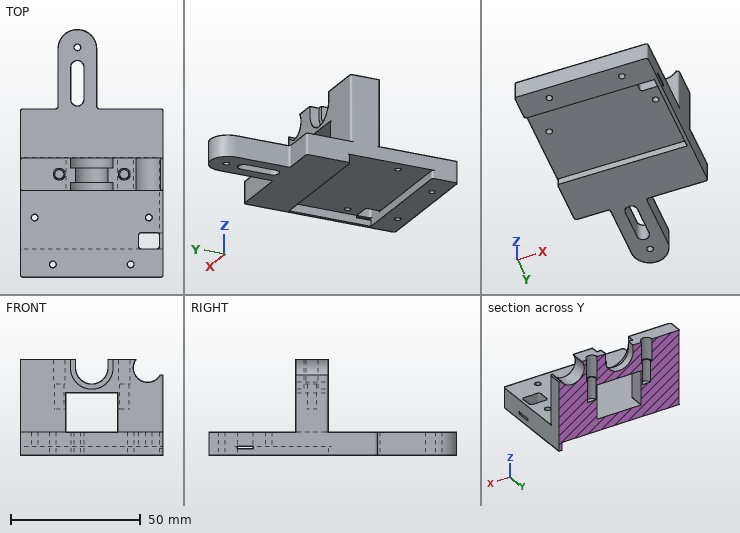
import cadquery as cq

base_width = 55.0
side_x = base_width / 2
base_length = 64.9
base_height = 9.0
corner_radius = 1.0

total_length = 95.5
tongue_width = 15.0
tongue_x = -5.5
tongue_tip_y = total_length - tongue_width / 2
slot_width = 5.0
slot_length = 17.5
slot_y = 74.8
tongue_hole_y = 88.6
screw_diameter = 2.5

total_height = 37.0
block_front_y = 33.4
block_depth = 12.6
block_back_y = block_front_y + block_depth
window_width = 20.0
window_top_z = 24.1

seat_z = 33.7
bore_diameter = 12.4
groove_diameter = 16.4
front_groove_depth = 3.15
back_groove_depth = 3.9

notch_x = 21.6
notch_radius = 5.5
notch_ledge_z = 31.0

cap_screw_spacing = 25.0
cap_screw_diameter = 3.5
cap_screw_depth = 19.1
cap_recess_diameter = 4.6
cap_recess_depth = 9.55

mounting_rows = [(44.0, 23.0), (30.0, 5.0)]

opening_width = 8.0
opening_length = 6.1
opening_x = 22.1
opening_end_x = opening_x + opening_width / 2

pocket_height = 3.4
pocket_front_y = 11.0
pocket_back_y = 46.1
slit_height = 0.9


def box(x_range, y_range, z_range):
    """Box spanning the given (low, high) ranges."""
    (x0, x1), (y0, y1), (z0, z1) = x_range, y_range, z_range
    return cq.Workplane("XY").box(x1 - x0, y1 - y0, z1 - z0, centered=False).translate((x0, y0, z0))


def vertical_hole(x, y, diameter, bottom_z, top_z):
    """Round vertical cutter between two heights."""
    return cq.Workplane("XY", origin=(x, y, bottom_z)).circle(diameter / 2).extrude(top_z - bottom_z)


def cylinder_along_y(x, z, radius, y0, y1):
    """Horizontal cylinder running from y0 to y1."""
    return cq.Workplane("XZ", origin=(x, y0, z)).circle(radius).extrude(y0 - y1)


def make_base():
    """Plate and tongue as one slab with rounded vertical corners."""
    half_tongue = tongue_width / 2
    left, right = tongue_x - half_tongue, tongue_x + half_tongue
    outline = (
        cq.Workplane("XY")
        .moveTo(-side_x, 0)
        .lineTo(side_x, 0)
        .lineTo(side_x, base_length)
        .lineTo(right, base_length)
        .lineTo(right, tongue_tip_y)
        .threePointArc((tongue_x, total_length), (left, tongue_tip_y))
        .lineTo(left, base_length)
        .lineTo(-side_x, base_length)
        .close()
    )
    slab = outline.extrude(base_height)
    plate_region = cq.selectors.BoxSelector(
        (-base_width, -base_length, 0),
        (base_width, tongue_tip_y - corner_radius, base_height),
    )
    slab = slab.edges("|Z").edges(plate_region).fillet(corner_radius)
    slot = (
        cq.Workplane("XY", origin=(tongue_x, slot_y, 0))
        .slot2D(slot_length, slot_width, 90)
        .extrude(base_height)
    )
    return slab.cut(slot).cut(vertical_hole(tongue_x, tongue_hole_y, screw_diameter, 0, base_height))


def make_bearing_seat():
    """U-shaped cutter, open at the top, wider at both faces of the block."""
    sections = [
        (bore_diameter, block_front_y, block_back_y),
        (groove_diameter, block_front_y, block_front_y + front_groove_depth),
        (groove_diameter, block_back_y - back_groove_depth, block_back_y),
    ]
    seat = cq.Workplane("XY")
    for diameter, y0, y1 in sections:
        radius = diameter / 2
        seat = seat.add(cylinder_along_y(0, seat_z, radius, y0, y1))
        seat = seat.add(box((-radius, radius), (y0, y1), (seat_z, total_height)))
    return seat.combine()


def make_block():
    """Upright block with window, bearing seat, rod notch and screw holes."""
    depth_range = (block_front_y, block_back_y)
    block = box((-side_x, side_x), depth_range, (0, total_height)).edges("|Z").fillet(corner_radius)
    window = box((-window_width / 2, window_width / 2), depth_range, (base_height, window_top_z))
    notch = cylinder_along_y(notch_x, seat_z, notch_radius, *depth_range)
    ledge = box((notch_x, side_x), depth_range, (notch_ledge_z, total_height))
    block = block.cut(window).cut(make_bearing_seat()).cut(notch).cut(ledge)
    block_mid_y = block_front_y + block_depth / 2
    steps = [(cap_screw_diameter, cap_screw_depth), (cap_recess_diameter, cap_recess_depth)]
    for x in (-cap_screw_spacing / 2, cap_screw_spacing / 2):
        for diameter, depth in steps:
            block = block.cut(vertical_hole(x, block_mid_y, diameter, total_height - depth, total_height))
    return block


def make_pocket():
    """Underside pocket whose open mouth has rounded edges."""
    mouth_x = -side_x
    pocket_outline = (
        cq.Workplane("XY")
        .moveTo(opening_end_x, pocket_front_y)
        .lineTo(opening_end_x, pocket_back_y)
        .lineTo(mouth_x + corner_radius, pocket_back_y)
        .radiusArc((mouth_x, pocket_back_y + corner_radius), corner_radius)
        .lineTo(mouth_x, pocket_front_y - corner_radius)
        .radiusArc((mouth_x + corner_radius, pocket_front_y), corner_radius)
        .close()
    )
    return pocket_outline.extrude(pocket_height)


def make_base_cutters():
    """Mounting holes, rectangular opening, underside pocket and its slit."""
    cutters = []
    for spacing, y in mounting_rows:
        for x in (-spacing / 2, spacing / 2):
            cutters.append(vertical_hole(x, y, screw_diameter, 0, base_height))

    opening_y_range = (pocket_front_y, pocket_front_y + opening_length)
    opening = box((opening_x - opening_width / 2, opening_end_x), opening_y_range, (0, base_height))
    cutters.append(opening.edges("|Z").fillet(corner_radius))

    cutters.append(make_pocket())
    slit_z_range = (pocket_height - slit_height, pocket_height)
    cutters.append(box((opening_x, side_x), opening_y_range, slit_z_range))
    return cutters


result = make_base().union(make_block())
for cutter in make_base_cutters():
    result = result.cut(cutter)